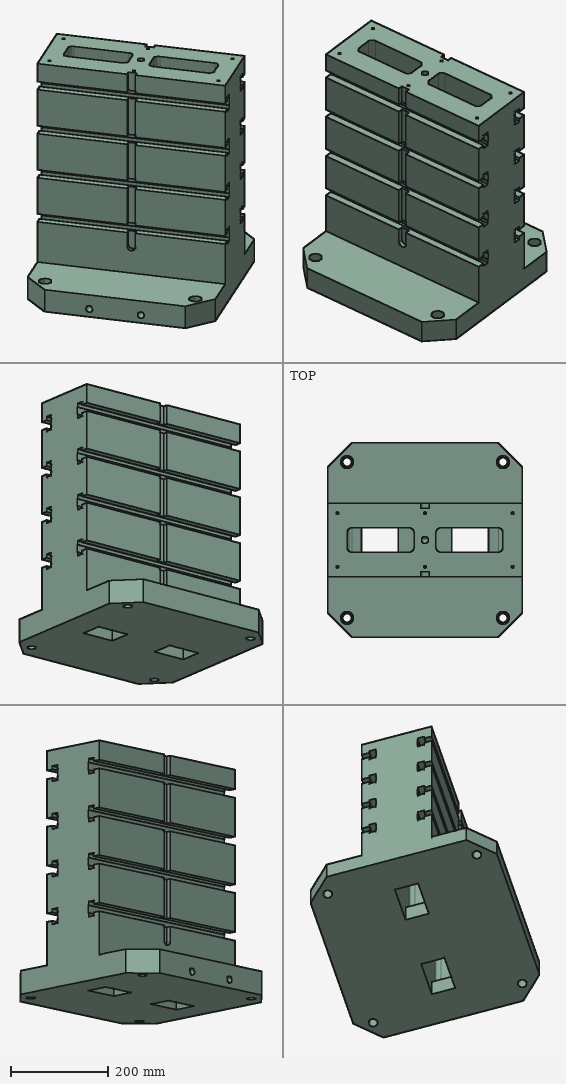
import cadquery as cq
import math

base_side = 400.0
base_height = 50.0
corner_chamfer = 50.0

overall_height = 500.0
tower_depth = 150.0
tower_face_y = tower_depth / 2

slot_count = 4
slot_pitch = 100.0
top_slot_offset = 50.0
slot_mouth_width = 18.0
slot_head_width = 32.0
slot_lip_depth = 16.0
slot_head_depth = 14.0
slot_groove_width = 16.0
slot_groove_depth = 1.0

keyway_width = 18.0
keyway_depth = 10.0
keyway_bottom_z = 101.0

pocket_inner_x = 22.5
pocket_outer_x = 160.0
pocket_width = 50.0
pocket_corner_radius = 10.0
pocket_floor_radius = 10.0
window_inner_x = 55.0
window_outer_x = 130.0

mount_hole_spacing = 320.0
mount_hole_diameter = 18.0
mount_bore_diameter = 26.0
mount_bore_depth = 18.0
pin_hole_diameter = 5.0
pin_hole_depth = 15.0
pin_hole_pitch_x = 180.0
pin_hole_y = 55.0
drilled_hole_diameter = 14.0
drilled_hole_depth = 25.0
drill_tip_angle = 118.0
side_hole_spacing = 110.0
side_hole_z = 18.0


def make_body():
    """Chamfered base plate with the plain tower block on it."""
    base = (
        cq.Workplane("XY")
        .rect(base_side, base_side)
        .extrude(base_height)
        .edges("|Z")
        .chamfer(corner_chamfer)
    )
    tower = cq.Workplane("XY").rect(base_side, tower_depth).extrude(overall_height)
    return base.union(tower)


def make_t_slot(center_z, side):
    """T-slot cutter along X: mouth, wider head, and a shallow groove in the floor of the head."""
    steps = (
        (slot_mouth_width, slot_lip_depth),
        (slot_head_width, slot_head_depth),
        (slot_groove_width, slot_groove_depth),
    )
    cutter = cq.Workplane("XY")
    step_start_y = tower_face_y
    for width, depth in steps:
        step = cq.Workplane("XY").box(base_side, depth, width)
        step_y = side * (step_start_y - depth / 2)
        cutter = cutter.union(step.translate((0, step_y, center_z)))
        step_start_y -= depth
    return cutter


def make_keyway(side):
    """Vertical keyway cutter with a round lower end, open at the tower top."""
    radius = keyway_width / 2
    outline = (
        cq.Workplane("XZ")
        .moveTo(-radius, overall_height)
        .lineTo(-radius, keyway_bottom_z + radius)
        .threePointArc((0, keyway_bottom_z), (radius, keyway_bottom_z + radius))
        .lineTo(radius, overall_height)
        .close()
    )
    cutter = outline.extrude(keyway_depth / 2, both=True)
    return cutter.translate((0, side * (tower_face_y - keyway_depth / 2), 0))


def make_pocket(side):
    """Pocket cutter down to the base top, with its window through the base plate."""
    length = pocket_outer_x - pocket_inner_x
    outer_direction = ">X" if side > 0 else "<X"
    round_floor_block = (
        cq.Workplane("XY")
        .box(length, pocket_width, overall_height - base_height)
        .faces(outer_direction)
        .edges("<Z")
        .fillet(pocket_floor_radius)
    )
    round_corner_block = (
        cq.Workplane("XY")
        .box(length, pocket_width, overall_height - base_height)
        .edges("|Z")
        .fillet(pocket_corner_radius)
    )
    center_x = side * (pocket_inner_x + pocket_outer_x) / 2
    center_z = (overall_height + base_height) / 2
    pocket = round_floor_block.intersect(round_corner_block).translate((center_x, 0, center_z))
    window = (
        cq.Workplane("XY")
        .center(side * (window_inner_x + window_outer_x) / 2, 0)
        .rect(window_outer_x - window_inner_x, pocket_width)
        .extrude(base_height + pocket_floor_radius)
    )
    return pocket.union(window)


def make_drilled_hole(position, direction):
    """Blind hole cutter with a conical drill tip."""
    radius = drilled_hole_diameter / 2
    tip_length = radius / math.tan(math.radians(drill_tip_angle / 2))
    start = cq.Vector(*position)
    axis = cq.Vector(*direction)
    shank = cq.Solid.makeCylinder(radius, drilled_hole_depth, start, axis)
    tip_start = start + axis * drilled_hole_depth
    tip = cq.Solid.makeCone(radius, 0, tip_length, tip_start, axis)
    return cq.Workplane("XY").add(shank.fuse(tip))


result = make_body()

for side in (-1, 1):
    for index in range(slot_count):
        slot_z = overall_height - top_slot_offset - index * slot_pitch
        result = result.cut(make_t_slot(slot_z, side))
    result = result.cut(make_keyway(side))
    result = result.cut(make_pocket(side))

result = (
    result.copyWorkplane(cq.Workplane("XY", origin=(0, 0, base_height)))
    .rect(mount_hole_spacing, mount_hole_spacing, forConstruction=True)
    .vertices()
    .cboreHole(mount_hole_diameter, mount_bore_diameter, mount_bore_depth)
)

pin_holes = (
    cq.Workplane("XY", origin=(0, 0, overall_height))
    .rarray(pin_hole_pitch_x, 2 * pin_hole_y, 3, 2)
    .circle(pin_hole_diameter / 2)
    .extrude(-pin_hole_depth)
)
result = result.cut(pin_holes)

result = result.cut(make_drilled_hole((0, 0, overall_height), (0, 0, -1)))
for side in (-1, 1):
    hole_start = (side * side_hole_spacing / 2, -base_side / 2, side_hole_z)
    result = result.cut(make_drilled_hole(hole_start, (0, 1, 0)))